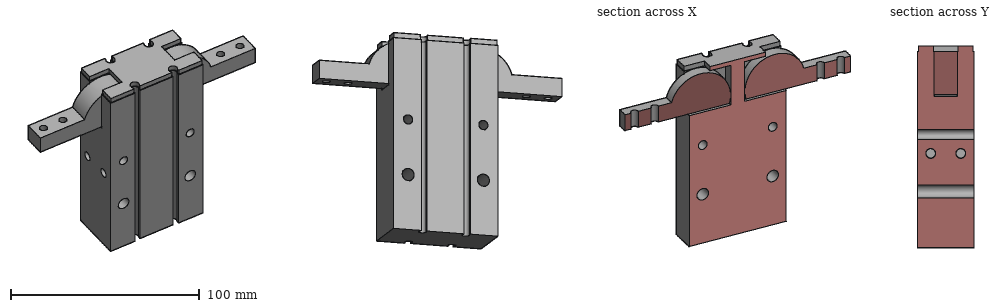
import cadquery as cq
import math

WIDTH = 30.0
DEPTH = 58.2
BODY_HEIGHT = 104.2
TOTAL_HEIGHT = 107.0
CAP_INSET = 0.4
PANEL_RECESS = 0.4

GROOVE_DIAMETER = 4.0
GROOVE_MOUTH = 3.2
GROOVE_X = 12.0
GROOVE_Y = 12.0

CROSS_HOLE_Y = 20.9
UPPER_HOLE_DIAMETER = 5.0
UPPER_HOLE_Z = 60.1
LOWER_HOLE_DIAMETER = 6.6
LOWER_HOLE_Z = 30.0
PORT_DIAMETER = 5.0
PORT_X = 8.0
PORT_Z = 50.1
PORT_DEPTH = 10.0

JAW_REACH = 67.5
JAW_WIDTH = 12.0
BAR_THICKNESS = 10.0
HUB_RADIUS = 18.1
HUB_Y = 22.3
HUB_Z = BODY_HEIGHT - HUB_RADIUS
BAR_BOTTOM = HUB_Z - BAR_THICKNESS / 2
BAR_TOP = HUB_Z + BAR_THICKNESS / 2
JAW_HOLE_DIAMETER = 4.2
JAW_HOLE_POSITIONS = (49.5, 61.7)

JAW_FLOOR_GAP = 0.8
SLOT_FLOOR = BAR_BOTTOM - JAW_FLOOR_GAP
SLOT_INNER_Y = HUB_Y - HUB_RADIUS
CAP_NOTCH_WIDTH = JAW_WIDTH + 2 * CAP_INSET
CAP_NOTCH_INNER_Y = 16.6

SIDES = (-1, 1)


def block(x_size, y_range, z_range):
    """Box centred on X, spanning the given Y and Z ranges."""
    y_low, y_high = sorted(y_range)
    z_low, z_high = z_range
    box = cq.Workplane("XY").box(x_size, y_high - y_low, z_high - z_low, centered=False)
    return box.translate((-x_size / 2, y_low, z_low))


def grooved_prism(inset, bottom, top):
    """Prism of the housing section, with every wall moved inwards by inset."""
    height = top - bottom
    base = cq.Workplane("XY").workplane(offset=bottom)
    prism = base.rect(WIDTH - 2 * inset, DEPTH - 2 * inset).extrude(height)
    panel_x = WIDTH / 2 - PANEL_RECESS - inset
    mouth_length = WIDTH / 2 - GROOVE_X
    for x_side in SIDES:
        panel_cut = base.center(x_side * (panel_x + PANEL_RECESS / 2), 0)
        prism = prism.cut(panel_cut.rect(PANEL_RECESS, 2 * GROOVE_Y).extrude(height))
        for y_side in SIDES:
            groove = base.center(x_side * GROOVE_X, y_side * GROOVE_Y)
            prism = prism.cut(groove.circle(GROOVE_DIAMETER / 2 + inset).extrude(height))
            mouth = groove.center(x_side * mouth_length / 2, 0)
            prism = prism.cut(mouth.rect(mouth_length, GROOVE_MOUTH + 2 * inset).extrude(height))
    return prism


def cross_holes(diameter, z):
    """Pair of mounting holes through the full width."""
    flank = cq.Workplane("YZ").workplane(offset=-WIDTH / 2)
    points = [(side * CROSS_HOLE_Y, z) for side in SIDES]
    return flank.pushPoints(points).circle(diameter / 2).extrude(WIDTH)


def air_ports():
    """Two blind ports in the -Y face."""
    face = cq.Workplane("XZ", origin=(0, -DEPTH / 2, 0))
    points = [(side * PORT_X, PORT_Z) for side in SIDES]
    return face.pushPoints(points).circle(PORT_DIAMETER / 2).extrude(-PORT_DEPTH)


def make_housing():
    body = grooved_prism(0, 0, BODY_HEIGHT)
    cap = grooved_prism(CAP_INSET, BODY_HEIGHT, TOTAL_HEIGHT)
    for side in SIDES:
        outer_y = side * DEPTH / 2
        slot = block(JAW_WIDTH, (side * SLOT_INNER_Y, outer_y), (SLOT_FLOOR, BODY_HEIGHT))
        body = body.cut(slot)
        notch_y = (side * CAP_NOTCH_INNER_Y, outer_y)
        cap = cap.cut(block(CAP_NOTCH_WIDTH, notch_y, (BODY_HEIGHT, TOTAL_HEIGHT)))
    housing_block = body.union(cap)
    housing_block = housing_block.cut(cross_holes(UPPER_HOLE_DIAMETER, UPPER_HOLE_Z))
    housing_block = housing_block.cut(cross_holes(LOWER_HOLE_DIAMETER, LOWER_HOLE_Z))
    return housing_block.cut(air_ports())


def make_jaw(side):
    """Jaw reaching out along +Y (side 1) or -Y (side -1)."""
    half_chord = math.sqrt(HUB_RADIUS**2 - (BAR_THICKNESS / 2) ** 2)
    outline = (
        cq.Workplane("YZ", origin=(-JAW_WIDTH / 2, 0, 0))
        .moveTo(side * (HUB_Y - half_chord), BAR_BOTTOM)
        .lineTo(side * JAW_REACH, BAR_BOTTOM)
        .lineTo(side * JAW_REACH, BAR_TOP)
        .lineTo(side * (HUB_Y + half_chord), BAR_TOP)
        .threePointArc(
            (side * HUB_Y, HUB_Z + HUB_RADIUS),
            (side * (HUB_Y - half_chord), BAR_BOTTOM),
        )
        .close()
    )
    points = [(0, side * y) for y in JAW_HOLE_POSITIONS]
    holes = cq.Workplane("XY").workplane(offset=BAR_BOTTOM).pushPoints(points)
    return outline.extrude(JAW_WIDTH).cut(holes.circle(JAW_HOLE_DIAMETER / 2).extrude(BAR_THICKNESS))


housing = make_housing()
jaws = [make_jaw(side) for side in SIDES]

result = cq.Compound.makeCompound([housing.val(), *[jaw.val() for jaw in jaws]])